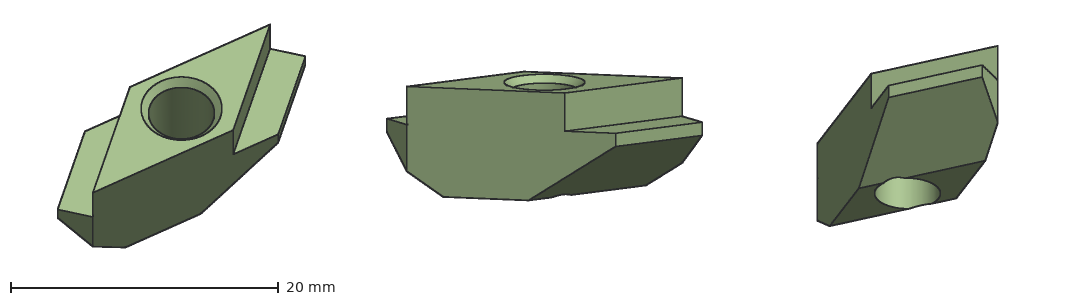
import cadquery as cq

width = 14.0
length = 19.0
height = 8.3

stem_width = 8.53
stem_height = 2.9
lip_height = 1.0
bottom_width = 4.6

hole_diameter = 4.92
countersink_diameter = 6.05

half_width = width / 2
half_length = length / 2
half_stem = stem_width / 2
half_bottom = bottom_width / 2
ledge_z = height - stem_height
flank_z = ledge_z - lip_height

side_corner_y = half_length - half_stem - half_width


def make_body():
    """Cross-section extruded along Y."""
    return (
        cq.Workplane("XZ")
        .polyline([
            (-half_bottom, 0),
            (half_bottom, 0),
            (half_width, flank_z),
            (half_width, ledge_z),
            (half_stem, ledge_z),
            (half_stem, height),
            (-half_stem, height),
            (-half_stem, ledge_z),
            (-half_width, ledge_z),
            (-half_width, flank_z),
        ])
        .close()
        .extrude(half_length, both=True)
    )


def make_plan():
    """Prism with the skewed six-sided plan outline."""
    return (
        cq.Workplane("XY")
        .polyline([
            (-half_width, -half_length),
            (-half_stem, -half_length),
            (half_width, -side_corner_y),
            (half_width, half_length),
            (half_stem, half_length),
            (-half_width, side_corner_y),
        ])
        .close()
        .extrude(height)
    )


def drill_hole(part):
    """Through hole at the centre with a 90 degree countersink at the top."""
    return (
        part.faces(">Z")
        .workplane(origin=(0, 0, height))
        .cskHole(hole_diameter, countersink_diameter, 90)
    )


result = drill_hole(make_body().intersect(make_plan()))